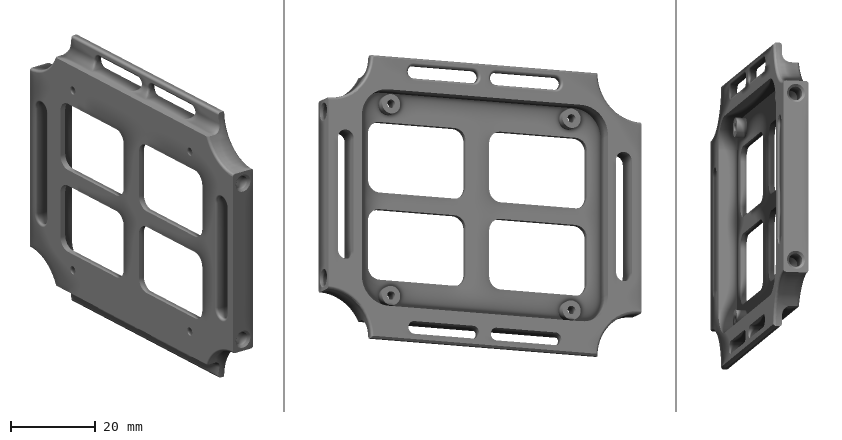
import cadquery as cq
import math

length = 80.0
thickness = 6.0
height = 68.0
front_y = -thickness / 2
back_y = thickness / 2
edge_radius = 0.6

pick_margin = 0.1

flange_thickness = 2.0
flange_height = 4.8
flange_root_radius = 2.0
flange_back_chamfer = 0.5
block_top = height / 2 - flange_height
flange_front_y = back_y - flange_thickness

corner_radius = 11.0

web_thickness = 1.4
pocket_length = 62.9
pocket_height = 52.0
pocket_radius = 6.8
web_back_y = front_y + web_thickness

window_length = 25.0
window_height = 17.0
window_radius = 3.0
window_gap_x = 6.0
window_gap_z = 4.0

screw_offset = 23.0
screw_diameter = 2.0
boss_diameter = 4.6
boss_height = 2.4

side_slot_x = 35.5
side_slot_width = 4.0
side_slot_length = 31.0

flange_slot_length = 18.0
flange_slot_width = 3.0
flange_slot_gap = 3.0

end_hole_z = 20.0
end_hole_diameter = 3.2
end_hole_depth = 6.0
end_hole_chamfer = 0.6
drill_tip_angle = 118.0


def front_plane(y=front_y):
    """XZ work plane at depth y; a negative extrusion goes toward the back."""
    return cq.Workplane("XZ", origin=(0, y, 0))


def make_half_blank(side):
    """The plate on one side of mid-height, with its flange."""
    flange_top = height / 2
    c = flange_back_chamfer
    r = flange_root_radius
    bend = r * (1 - math.sqrt(0.5))
    blank = (
        cq.Workplane("YZ", origin=(-length / 2, 0, 0))
        .moveTo(back_y, 0)
        .lineTo(back_y, side * (flange_top - c))
        .lineTo(back_y - c, side * flange_top)
        .lineTo(flange_front_y, side * flange_top)
        .lineTo(flange_front_y, side * (block_top + r))
        .threePointArc(
            (flange_front_y - bend, side * (block_top + bend)),
            (flange_front_y - r, side * block_top),
        )
        .lineTo(front_y, side * block_top)
        .lineTo(front_y, 0)
        .close()
        .extrude(length)
    )
    outer_face = ">Z" if side > 0 else "<Z"
    return blank.faces(outer_face).edges("<Y").fillet(edge_radius)


def cut_flange_slots(body, side):
    z = side * (block_top + flange_slot_width / 2)
    slots = (
        front_plane()
        .center(0, z)
        .rarray(flange_slot_length + flange_slot_gap, 0.8, 2, 1)
        .slot2D(flange_slot_length, flange_slot_width)
        .extrude(-thickness)
    )
    return body.cut(slots)


def round_upper_slots(body):
    """Round both rims of the upper flange slots; the front rim ends at the block edge."""
    reach = flange_slot_length + flange_slot_gap
    slot_top = block_top + flange_slot_width + pick_margin
    front_rims = cq.selectors.BoxSelector(
        (-reach, front_y, block_top + pick_margin),
        (reach, flange_front_y + pick_margin, slot_top),
    )
    back_rims = cq.selectors.BoxSelector(
        (-reach, back_y - pick_margin, block_top - pick_margin),
        (reach, back_y + pick_margin, slot_top),
        boundingbox=True,
    )
    body = body.edges(back_rims).fillet(edge_radius)
    return body.edges(front_rims).fillet(edge_radius)


def cut_side_slots(body):
    """Slots with rounded front rims."""
    slots = (
        front_plane()
        .rarray(2 * side_slot_x, 0.8, 2, 1)
        .slot2D(side_slot_length, side_slot_width, 90)
        .extrude(-thickness)
    )
    body = body.cut(slots)
    x = side_slot_x + side_slot_width / 2 + pick_margin
    z = side_slot_length / 2 + pick_margin
    low = (-x, front_y - pick_margin, -z)
    high = (x, front_y + pick_margin, z)
    rims = cq.selectors.BoxSelector(low, high, boundingbox=True)
    return body.edges(rims).fillet(edge_radius)


def cut_corners(body):
    """Scoop the outline corners with a cutter that flares to round both rims."""
    c = corner_radius
    r = edge_radius
    bend = r * (1 - math.sqrt(0.5))
    cutter = (
        cq.Workplane("XY")
        .moveTo(0, front_y)
        .lineTo(c + r, front_y)
        .threePointArc((c + bend, front_y + bend), (c, front_y + r))
        .lineTo(c, back_y - r)
        .threePointArc((c + bend, back_y - bend), (c + r, back_y))
        .lineTo(0, back_y)
        .close()
        .revolve(360, (0, 0, 0), (0, 1, 0))
    )
    for x in (-length / 2, length / 2):
        for z in (-height / 2, height / 2):
            body = body.cut(cutter.translate((x, 0, z)))
    return body


def cut_end_holes(body):
    r = end_hole_diameter / 2
    c = end_hole_chamfer
    tip = r / math.tan(math.radians(drill_tip_angle / 2))
    profile = [
        (0, 0),
        (r + c, 0),
        (r, c),
        (r, end_hole_depth),
        (0, end_hole_depth + tip),
    ]
    drill = cq.Workplane("XY").polyline(profile).close().revolve(360, (0, 0, 0), (0, 1, 0))
    for side in (-1, 1):
        aimed = drill.rotate((0, 0, 0), (0, 0, 1), side * 90)
        for z in (-end_hole_z, end_hole_z):
            body = body.cut(aimed.translate((side * length / 2, 0, z)))
    return body


def make_pocket():
    """Pocket volume, with the screw bosses left standing in it."""
    pocket = (
        front_plane(web_back_y)
        .rect(pocket_length, pocket_height)
        .extrude(web_back_y - back_y)
        .edges("|Y")
        .fillet(pocket_radius)
    )
    bosses = (
        front_plane(web_back_y)
        .rarray(2 * screw_offset, 2 * screw_offset, 2, 2)
        .circle(boss_diameter / 2)
        .extrude(-boss_height)
    )
    return pocket.cut(bosses)


def make_windows():
    return (
        front_plane()
        .rarray(window_length + window_gap_x, window_height + window_gap_z, 2, 2)
        .rect(window_length, window_height)
        .extrude(-thickness)
        .edges("|Y")
        .fillet(window_radius)
    )


def make_screw_holes():
    return (
        front_plane()
        .rarray(2 * screw_offset, 2 * screw_offset, 2, 2)
        .circle(screw_diameter / 2)
        .extrude(-thickness)
    )


plate = make_half_blank(1).union(make_half_blank(-1))
plate = cut_flange_slots(plate, 1)
plate = cut_flange_slots(plate, -1)
plate = round_upper_slots(plate)
plate = cut_side_slots(plate)
plate = cut_corners(plate)
plate = cut_end_holes(plate)
result = plate.cut(make_pocket()).cut(make_windows()).cut(make_screw_holes())